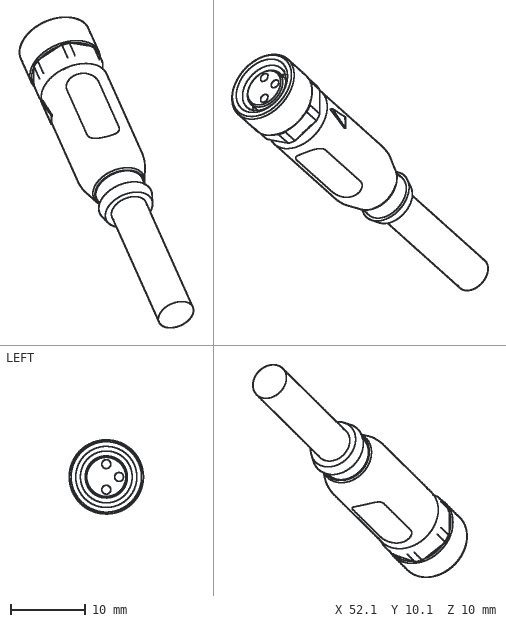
import cadquery as cq
import math

NUT_ROUND_END = 4.95
NUT_END = 7.45
BODY_START = 8.85
TAPER_BLEND_START = 24.05
TAPER_START = 25.0
TAPER_END = 27.7
BODY_END = 28.0
RING_START = 30.55
RING_END = 32.05
CABLE_END = 52.1

NUT_DIA = 10.0
NUT_FRONT_DIA = 9.5
NUT_REAR_CHAMFER = 0.2
HEX_ACROSS_FLATS = 9.0
HEX_CORNER_DIA = 9.85
HEX_FILLET = 0.15
MOUTH_DIA = 8.25
BORE_DIA = 7.0
MOUTH_DEPTH = 0.55
BORE_DEPTH = 3.1

INSERT_DIA = 5.7
INSERT_CHAMFER = 0.2
INSERT_FACE = 0.55
INSERT_ROOT = NUT_ROUND_END
CONTACT_DIA = 1.2
CONTACT_RADIUS = 1.7
CONTACT_DEPTH = 2.6
CONTACT_ANGLES = (90, 180, 270)

FRONT_NECK_DIA = 5.8
BODY_DIA = 9.5
TAPER_START_DIA = 9.2
TAPER_END_DIA = 7.4
BODY_END_DIA = 7.0
SLEEVE_DIA = 6.7
RING_FRONT_DIA = 7.6
RING_REAR_DIA = SLEEVE_DIA
CABLE_DIA = 5.0

GRIP_START = 10.6
GRIP_END = 22.55
GRIP_FLOOR_START = 12.3
GRIP_FLOOR_HEIGHT = 4.15

ARROW_TIP = 9.6
ARROW_BASE = 13.3
ARROW_WIDTH = 1.8
ARROW_TIP_HEIGHT = 5.05
ARROW_BASE_HEIGHT = 4.8
ARROW_ROOT_HEIGHT = 4.45


def cylinder_x(diameter, start, end):
    """Cylinder along X between two positions."""
    return cq.Workplane("YZ", origin=(start, 0, 0)).circle(diameter / 2).extrude(end - start)


def cone_x(start_dia, end_dia, start, end):
    """Truncated cone along X between two positions."""
    profile = [(start, 0), (start, start_dia / 2), (end, end_dia / 2), (end, 0)]
    return cq.Workplane("XY").polyline(profile).close().revolve(360, (0, 0, 0), (1, 0, 0))


def make_nut():
    """Round front and hexagonal rear, bored out around the contact insert."""
    front_chamfer = (NUT_DIA - NUT_FRONT_DIA) / 2
    round_part = cylinder_x(NUT_DIA, 0, NUT_ROUND_END)
    round_part = round_part.faces("<X").chamfer(front_chamfer)
    round_part = round_part.faces(">X").chamfer(NUT_REAR_CHAMFER)

    hex_length = NUT_END - NUT_ROUND_END
    corner_to_corner = HEX_ACROSS_FLATS / math.cos(math.radians(30))
    hexagon = (
        cq.Workplane("YZ", origin=(NUT_ROUND_END, 0, 0))
        .transformed(rotate=(0, 0, 90))
        .polygon(6, corner_to_corner)
        .extrude(hex_length)
        .intersect(cylinder_x(HEX_CORNER_DIA, NUT_ROUND_END, NUT_END))
        .faces(">X")
        .edges()
        .fillet(HEX_FILLET)
    )
    mouth = cone_x(MOUTH_DIA, BORE_DIA, 0, MOUTH_DEPTH)
    bore = cylinder_x(BORE_DIA, MOUTH_DEPTH, BORE_DEPTH)
    return round_part.union(hexagon).cut(mouth).cut(bore)


def make_insert():
    """Contact carrier standing inside the nut bore and rooted in the nut, with its contact holes."""
    insert = cylinder_x(INSERT_DIA, INSERT_FACE, INSERT_ROOT).faces("<X").chamfer(INSERT_CHAMFER)
    for angle in CONTACT_ANGLES:
        y = CONTACT_RADIUS * math.cos(math.radians(angle))
        z = CONTACT_RADIUS * math.sin(math.radians(angle))
        hole = cylinder_x(CONTACT_DIA, INSERT_FACE, INSERT_FACE + CONTACT_DEPTH)
        insert = insert.cut(hole.translate((0, y, z)))
    return insert


def make_body():
    """Revolved grip body with a tapered and chamfered rear end."""
    return (
        cq.Workplane("XY")
        .moveTo(BODY_START, 0)
        .lineTo(BODY_START, BODY_DIA / 2)
        .lineTo(TAPER_BLEND_START, BODY_DIA / 2)
        .tangentArcPoint((TAPER_START, TAPER_START_DIA / 2), relative=False)
        .lineTo(TAPER_END, TAPER_END_DIA / 2)
        .lineTo(BODY_END, BODY_END_DIA / 2)
        .lineTo(BODY_END, 0)
        .close()
        .revolve(360, (0, 0, 0), (1, 0, 0))
    )


def make_grip_cutter():
    """Cutter for the upper recess: flat floor rising in an arc at both ends."""
    run = GRIP_FLOOR_START - GRIP_START
    rise = BODY_DIA / 2 - GRIP_FLOOR_HEIGHT
    floor_end = GRIP_END - run
    arc_radius = (run**2 + rise**2) / (2 * rise)
    half_angle = math.asin(run / arc_radius) / 2
    mid_run = arc_radius * math.sin(half_angle)
    mid_height = GRIP_FLOOR_HEIGHT + arc_radius * (1 - math.cos(half_angle))
    return (
        cq.Workplane("XZ")
        .moveTo(GRIP_START, BODY_DIA / 2)
        .threePointArc((GRIP_FLOOR_START - mid_run, mid_height), (GRIP_FLOOR_START, GRIP_FLOOR_HEIGHT))
        .lineTo(floor_end, GRIP_FLOOR_HEIGHT)
        .threePointArc((floor_end + mid_run, mid_height), (GRIP_END, BODY_DIA / 2))
        .close()
        .extrude(BODY_DIA / 2, both=True)
    )


def make_arrow():
    """Triangle pointing to the nut, highest at its tip."""
    triangle = (
        cq.Workplane("XZ")
        .polyline([(ARROW_TIP, 0), (ARROW_BASE, ARROW_WIDTH / 2), (ARROW_BASE, -ARROW_WIDTH / 2)])
        .close()
        .extrude(ARROW_TIP_HEIGHT)
    )
    side_outline = [
        (ARROW_TIP, -ARROW_ROOT_HEIGHT),
        (ARROW_TIP, -ARROW_TIP_HEIGHT),
        (ARROW_BASE, -ARROW_BASE_HEIGHT),
        (ARROW_BASE, -ARROW_ROOT_HEIGHT),
    ]
    wedge = cq.Workplane("XY").polyline(side_outline).close().extrude(ARROW_WIDTH, both=True)
    return triangle.intersect(wedge)


grip_cutter = make_grip_cutter()
body = make_body().cut(grip_cutter).cut(grip_cutter.mirror("XY")).union(make_arrow())

result = (
    make_nut()
    .union(make_insert())
    .union(cylinder_x(FRONT_NECK_DIA, NUT_END, BODY_START))
    .union(body)
    .union(cylinder_x(SLEEVE_DIA, BODY_END, RING_START))
    .union(cone_x(RING_FRONT_DIA, RING_REAR_DIA, RING_START, RING_END))
    .union(cylinder_x(CABLE_DIA, RING_END, CABLE_END))
)